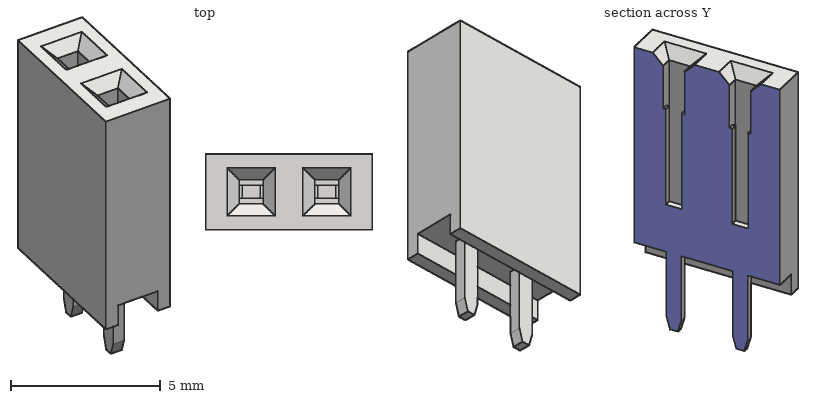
import cadquery as cq

housing_length = 5.57
housing_width = 2.54
total_height = 10.7
pin_length = 2.2
housing_height = total_height - pin_length

channel_width = 1.56
channel_height = 0.8

pitch = 2.54
socket_centers = [(-pitch / 2, 0), (pitch / 2, 0)]
mouth_size = 1.6
socket_size = 0.8
mouth_depth = (mouth_size - socket_size) / 2
socket_floor = 2.14

pin_width = 0.6
pin_thickness = 0.44
tip_width = 0.31
tip_height = 0.5
fork_base_height = 0.54
pin_top = socket_floor + fork_base_height
prong_top = 6.42
prong_width = (socket_size - pin_width) / 2


def make_housing():
    body = cq.Workplane("XY").box(
        housing_length, housing_width, housing_height, centered=(True, True, False)
    )
    channel = cq.Workplane("XY").box(
        housing_length, channel_width, channel_height, centered=(True, True, False)
    )
    return body.cut(channel)


def make_socket(center):
    shaft = (
        cq.Workplane("XY", origin=(*center, socket_floor))
        .rect(socket_size, socket_size)
        .extrude(housing_height - socket_floor)
    )
    mouth = (
        cq.Workplane("XY", origin=(*center, housing_height))
        .rect(mouth_size, mouth_size)
        .workplane(offset=-mouth_depth)
        .rect(socket_size, socket_size)
        .loft(ruled=True)
    )
    return shaft.union(mouth)


def make_contact(center):
    pin = (
        cq.Workplane("XZ", origin=(*center, 0))
        .moveTo(-tip_width / 2, -pin_length)
        .lineTo(tip_width / 2, -pin_length)
        .lineTo(pin_width / 2, tip_height - pin_length)
        .lineTo(pin_width / 2, pin_top)
        .lineTo(-pin_width / 2, pin_top)
        .lineTo(-pin_width / 2, tip_height - pin_length)
        .close()
        .extrude(pin_thickness / 2, both=True)
    )
    prong_offset = (pin_width + prong_width) / 2
    prongs = (
        cq.Workplane("XY", origin=(*center, socket_floor))
        .pushPoints([(-prong_offset, 0), (prong_offset, 0)])
        .rect(prong_width, pin_thickness)
        .extrude(prong_top - socket_floor)
    )
    return pin.union(prongs)


result = make_housing()
for socket_center in socket_centers:
    result = result.cut(make_socket(socket_center)).union(make_contact(socket_center))